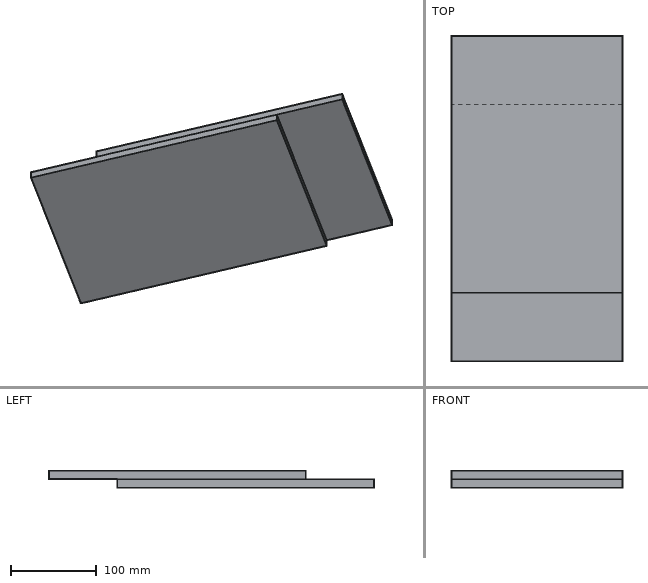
import cadquery as cq

overall_length = 380.0
plate_width = 200.0
plate_length = 300.2
stack_height = 20.0

plate_thickness = stack_height / 2
stagger = overall_length - plate_length


def make_plate(front_y, bottom_z):
    """Flat rectangular plate, centred on X, starting at the given front edge and underside."""
    return (
        cq.Workplane("XY")
        .box(plate_width, plate_length, plate_thickness, centered=(True, False, False))
        .translate((0, front_y, bottom_z))
    )


front_edge = -overall_length / 2
plates = [
    make_plate(front_edge + level * stagger, level * plate_thickness)
    for level in range(2)
]

result = cq.Compound.makeCompound([plate.val() for plate in plates])